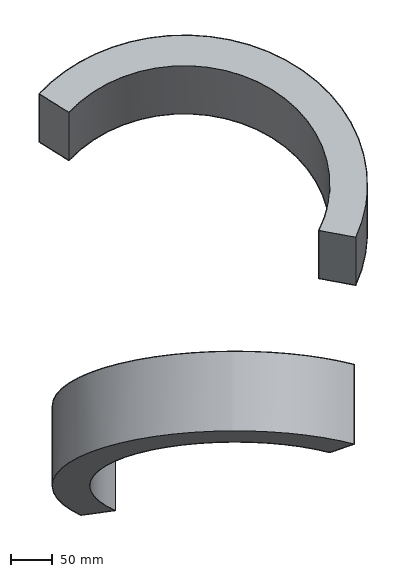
import cadquery as cq
import math

outer_radius = 219.0
wall = 45.0
height = 100.0
sweep_angle = 165.32
end_face_tilt = 10.0
outer_seam_fraction = 0.75
inner_seam_fraction = 0.5

inner_radius = outer_radius - wall
outer_seam_angle = outer_seam_fraction * sweep_angle
inner_seam_angle = inner_seam_fraction * sweep_angle

tilt = math.radians(end_face_tilt)
outer_corner_tilt = math.degrees(math.asin(inner_radius * math.sin(tilt) / outer_radius))
outer_start_angle = end_face_tilt - outer_corner_tilt


def on_circle(radius, angle):
    """Point on a circle about the origin, at an angle in degrees from +X."""
    turn = math.radians(angle)
    return (radius * math.cos(turn), radius * math.sin(turn))


def add_arcs(outline, radius, angles):
    """Continue the outline along a circle, one arc between each pair of angles."""
    for start, end in zip(angles, angles[1:]):
        middle = (start + end) / 2
        outline = outline.threePointArc(on_circle(radius, middle), on_circle(radius, end))
    return outline


def ring_segment():
    """Ring segment with a tilted end face at +X and a radial end face at -X."""
    outline = cq.Workplane("XY").moveTo(*on_circle(inner_radius, 0))
    outline = outline.lineTo(*on_circle(outer_radius, outer_start_angle))
    outline = add_arcs(outline, outer_radius, [outer_start_angle, outer_seam_angle, sweep_angle])
    outline = outline.lineTo(*on_circle(inner_radius, sweep_angle))
    outline = add_arcs(outline, inner_radius, [sweep_angle, inner_seam_angle, 0])
    return outline.close().extrude(height, clean=False)


result = ring_segment()